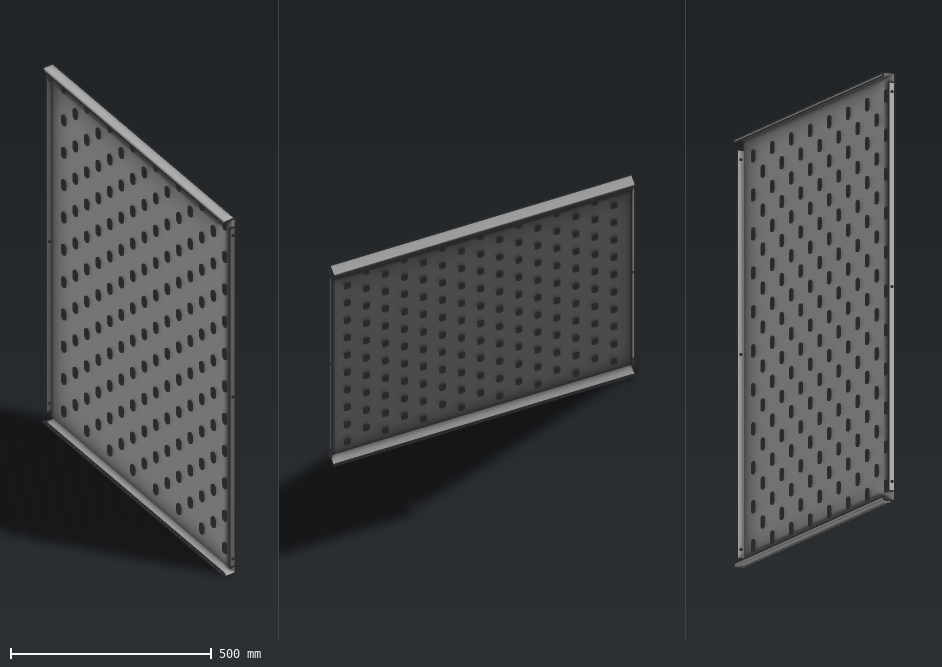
import cadquery as cq

width = 798.0
depth = 33.0
height = 1098.0
thickness = 2.0
bend_radius = 3.0

lip_length = 10.0

side_flange_depth = 20.0
side_flange_gap = 25.0

slot_pitch = 100.0
slot_width = 15.0
slot_length = 31.0
wide_row_columns = 8
wide_row_count = 11

side_hole_diameter = 4.0
side_hole_setback = side_flange_depth / 2
side_hole_spacing = 5 * slot_pitch

overshoot = 11.0
inner_radius = bend_radius - thickness
rim_length = width - 2 * bend_radius
side_bend_length = height - 2 * bend_radius


def make_rimmed_sheet():
    """C-section running along X: back sheet, top and bottom flanges, returned lips."""
    outer = (
        cq.Workplane("XY").box(rim_length, depth, height).translate((0, -depth / 2, 0))
        .edges("|X").fillet(bend_radius)
    )
    inner = (
        cq.Workplane("XY")
        .box(width, depth - 2 * thickness, height - 2 * thickness)
        .translate((0, -depth / 2, 0))
        .edges("|X").fillet(inner_radius)
    )
    mouth = (
        cq.Workplane("XY")
        .box(width, depth, height - 2 * lip_length)
        .translate((0, -thickness - depth / 2, 0))
    )
    return outer.cut(inner).cut(mouth).cut(make_lip_corners())


def make_lip_corners():
    """Wedges that cut the four lip ends at 45 degrees, from the bend to the free edge."""
    half_length = rim_length / 2
    bend_line = height / 2 - bend_radius
    free_edge = height / 2 - lip_length
    taper = bend_line - free_edge
    corner = (
        cq.Workplane("XZ", origin=(0, -depth + thickness, 0))
        .moveTo(half_length, bend_line)
        .lineTo(half_length, free_edge)
        .lineTo(half_length - taper, free_edge)
        .close().extrude(thickness)
    )
    upper_pair = corner.union(corner.mirror("YZ"))
    return upper_pair.union(upper_pair.mirror("XY"))


def make_side_channel():
    """U-section running along Z: back sheet with the two side flanges."""
    block_depth = 2 * side_flange_depth
    outer = (
        cq.Workplane("XY").box(width, block_depth, side_bend_length)
        .translate((0, -block_depth / 2, 0))
        .edges("|Z and >Y").fillet(bend_radius)
    )
    inner = (
        cq.Workplane("XY").box(width - 2 * thickness, block_depth, height)
        .translate((0, -thickness - block_depth / 2, 0))
        .edges("|Z and >Y").fillet(inner_radius)
    )
    front = (
        cq.Workplane("XY").box(2 * width, block_depth, height)
        .translate((0, -side_flange_depth - block_depth / 2, 0))
    )
    notch = (
        cq.Workplane("XY").box(2 * width, block_depth, side_flange_gap)
        .translate((0, -bend_radius - block_depth / 2, (height - side_flange_gap) / 2))
    )
    return outer.cut(inner).cut(front).cut(notch).cut(notch.mirror("XY"))


def slot_centers():
    """Rows half a pitch apart; every second row is shifted and one slot shorter."""
    centers = []
    row_total = 2 * wide_row_count - 1
    for row in range(row_total):
        z = (row - (row_total - 1) / 2) * slot_pitch / 2
        columns = wide_row_columns - row % 2
        for column in range(columns):
            x = (column - (columns - 1) / 2) * slot_pitch
            centers.append((x, z))
    return centers


def make_slots():
    return (
        cq.Workplane("XZ", origin=(0, overshoot, 0)).pushPoints(slot_centers())
        .slot2D(slot_length, slot_width, 90).extrude(2 * overshoot)
    )


def make_side_holes():
    centers = [(-side_hole_setback, step * side_hole_spacing) for step in (-1, 0, 1)]
    return (
        cq.Workplane("YZ").pushPoints(centers)
        .circle(side_hole_diameter / 2).extrude(width, both=True)
    )


panel = make_rimmed_sheet().union(make_side_channel())
result = panel.cut(make_slots()).cut(make_side_holes())